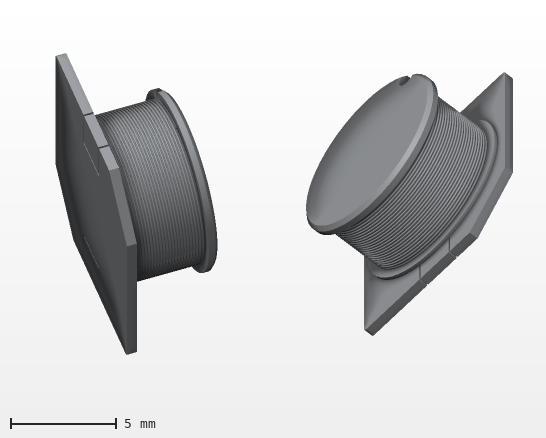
import cadquery as cq
import math

base_width = 10.0
base_height = 11.1
base_thickness = 0.5
cut_corner_x = 2.5
cut_corner_z = 2.8
corner_radius = 0.2

terminal_width = 2.0
terminal_length = 2.0
terminal_gap = 0.1

flange_radius = 4.5
inner_flange_thickness = 0.2
outer_flange_thickness = 0.5
flange_chamfer = 0.2
overall_depth = 4.8

wire_diameter = 0.1
wire_pitch = 0.15
coil_radius = 4.02
core_radius = 3.98

notch_radius = 0.52
notch_center_radius = 4.23
notch_angle = 131.8
notch_overrun = 0.07
notch_depth = outer_flange_thickness + notch_overrun

winding_start = base_thickness + inner_flange_thickness
winding_end = overall_depth - outer_flange_thickness
winding_length = winding_end - winding_start


def disc(radius, y_start, length):
    """Solid cylinder about the Y axis, from y_start towards +Y."""
    axis = cq.Vector(0, 1, 0)
    return cq.Workplane(cq.Solid.makeCylinder(radius, length, cq.Vector(0, y_start, 0), axis))


def terminal_slot(side):
    """U-shaped gap around one terminal; side is +1 for the top edge, -1 for the bottom edge."""
    edge_z = side * base_height / 2
    pocket_width = terminal_width + 2 * terminal_gap
    pocket_length = terminal_length + terminal_gap

    def block(width, length):
        return cq.Workplane("XY").box(width, base_thickness, 2 * length).translate(
            (0, base_thickness / 2, edge_z)
        )

    pocket = block(pocket_width, pocket_length).edges("|Y").fillet(terminal_gap)
    return pocket.cut(block(terminal_width, terminal_length))


def make_base():
    half_x = base_width / 2
    half_z = base_height / 2
    outline = [
        (-half_x, half_z),
        (half_x - cut_corner_x, half_z),
        (half_x, half_z - cut_corner_z),
        (half_x, -half_z),
        (-half_x + cut_corner_x, -half_z),
        (-half_x, -half_z + cut_corner_z),
    ]
    plate = cq.Workplane("XZ").polyline(outline).close().extrude(-base_thickness)
    square_corners = [(-half_x, half_z), (half_x, -half_z)]
    for x, z in square_corners:
        corner = cq.selectors.NearestToPointSelector((x, base_thickness / 2, z))
        plate = plate.edges(corner).fillet(corner_radius)
    for side in (1, -1):
        plate = plate.cut(terminal_slot(side))
    return plate


def make_wire():
    """Helical wire about the Y axis, sunk slightly into the core, with its ends inside the two flanges."""
    path = cq.Wire.makeHelix(
        wire_pitch, winding_length, coil_radius, cq.Vector(0, winding_start, 0), cq.Vector(0, 1, 0)
    )
    section_plane = cq.Plane(origin=path.startPoint(), xDir=(0, 1, 0), normal=path.tangentAt(0))
    return (
        cq.Workplane(section_plane)
        .circle(wire_diameter / 2)
        .sweep(cq.Workplane(path), isFrenet=True)
    )


def make_outer_flange():
    flange = disc(flange_radius, winding_end, outer_flange_thickness)
    return flange.faces(">Y").edges().chamfer(flange_chamfer)


def make_notch():
    angle = math.radians(notch_angle)
    center = (
        notch_center_radius * math.cos(angle),
        0,
        notch_center_radius * math.sin(angle),
    )
    return disc(notch_radius, overall_depth - notch_depth, notch_depth).translate(center)


inner_flange = disc(flange_radius, base_thickness, inner_flange_thickness)
core = disc(core_radius, winding_start, winding_length)
body = make_base().union(inner_flange).union(core).union(make_outer_flange())
result = body.union(make_wire()).cut(make_notch())